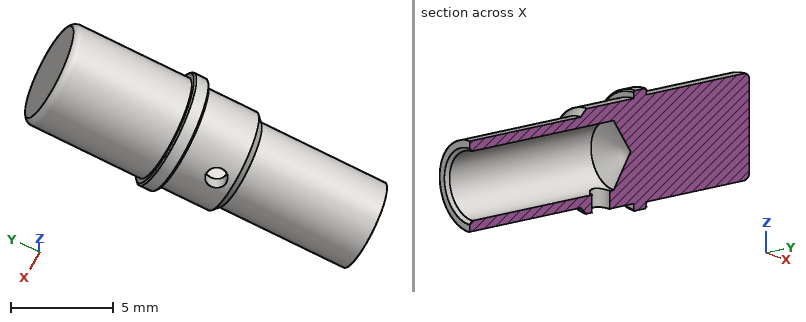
import cadquery as cq
import math

total_length = 17.47
plug_diameter = 5.45
plug_length = 6.41
plug_end_round_radius = 0.4
plug_end_round_length = 0.37
collar_diameter = 6.11
collar_width = 0.83
collar_edge_chamfer = 0.09
shoulder_diameter = 5.35
barrel_diameter = 4.62
barrel_length = 6.94

bore_diameter = 3.5
bore_depth = 9.0
bore_mouth_chamfer = 0.18
drill_point_angle = 118.0

inspection_hole_diameter = 1.1
inspection_hole_from_plug_end = 9.26

barrel_end_y = -total_length / 2
plug_end_y = total_length / 2
collar_back_y = plug_end_y - plug_length
collar_front_y = collar_back_y - collar_width
barrel_root_y = barrel_end_y + barrel_length
inspection_hole_y = plug_end_y - inspection_hole_from_plug_end
shoulder_taper = (shoulder_diameter - barrel_diameter) / 2


def cylinder(diameter, start_y, end_y):
    """Solid cylinder on the Y axis from start_y to end_y."""
    return (
        cq.Workplane("XZ", origin=(0, end_y, 0))
        .circle(diameter / 2)
        .extrude(end_y - start_y)
    )


def make_plug():
    """Plug whose end is rounded by an arc tangent to its side, meeting the end face at an edge."""
    radius = plug_diameter / 2
    arc_angle = math.asin(plug_end_round_length / plug_end_round_radius)
    arc_centre_radius = radius - plug_end_round_radius
    arc_start_y = plug_end_y - plug_end_round_length
    arc_middle = (
        arc_centre_radius + plug_end_round_radius * math.cos(arc_angle / 2),
        arc_start_y + plug_end_round_radius * math.sin(arc_angle / 2),
    )
    arc_end = (arc_centre_radius + plug_end_round_radius * math.cos(arc_angle), plug_end_y)
    return (
        cq.Workplane("XY")
        .moveTo(0, collar_back_y)
        .lineTo(radius, collar_back_y)
        .lineTo(radius, arc_start_y)
        .threePointArc(arc_middle, arc_end)
        .lineTo(0, plug_end_y)
        .close()
        .revolve(360, (0, 0, 0), (0, 1, 0))
    )


def make_collar():
    collar = cylinder(collar_diameter, collar_front_y, collar_back_y)
    return collar.faces("<Y or >Y").chamfer(collar_edge_chamfer)


def make_shoulder():
    shoulder = cylinder(shoulder_diameter, barrel_root_y, collar_back_y)
    return shoulder.faces("<Y").edges().chamfer(shoulder_taper)


def make_barrel():
    return cylinder(barrel_diameter, barrel_end_y, collar_back_y)


def make_bore():
    """Drilled hole with a conical bottom and a chamfered mouth."""
    radius = bore_diameter / 2
    mouth_radius = radius + bore_mouth_chamfer
    bottom_y = barrel_end_y + bore_depth
    tip_height = radius / math.tan(math.radians(drill_point_angle / 2))
    return (
        cq.Workplane("XY")
        .moveTo(0, barrel_end_y)
        .lineTo(mouth_radius, barrel_end_y)
        .lineTo(radius, barrel_end_y + bore_mouth_chamfer)
        .lineTo(radius, bottom_y)
        .lineTo(0, bottom_y + tip_height)
        .close()
        .revolve(360, (0, 0, 0), (0, 1, 0))
    )


def make_inspection_hole():
    """Radial hole from the bore axis through the -Z side of the shoulder."""
    return (
        cq.Workplane("XY")
        .center(0, inspection_hole_y)
        .circle(inspection_hole_diameter / 2)
        .extrude(-shoulder_diameter / 2)
    )


outer_body = make_plug().union(make_collar()).union(make_shoulder()).union(make_barrel())
result = outer_body.cut(make_bore()).cut(make_inspection_hole())